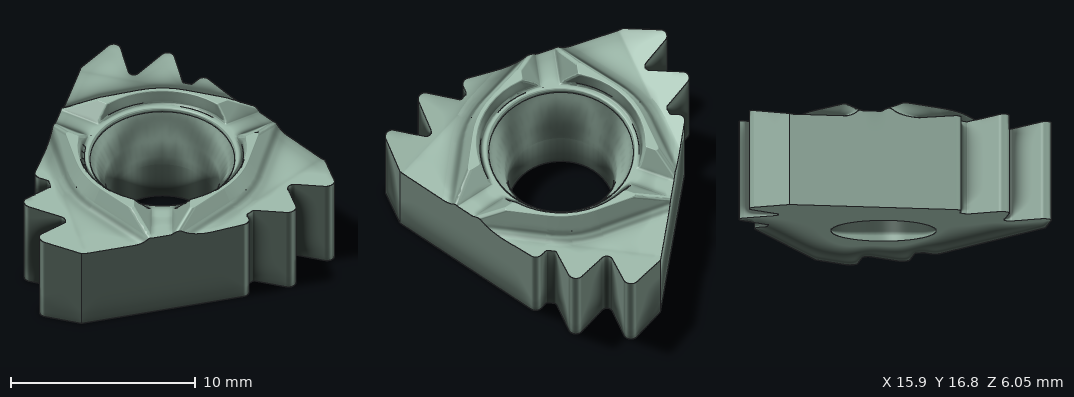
import cadquery as cq
import math

SECTORS = 3
SECTOR_ANGLE = 360 / SECTORS
FLAT_DIRECTION = 180 - SECTOR_ANGLE
FLAT_DISTANCE = 6.33
TOP_Z = 6.05
FLOOR_Z = 4.99

PITCH = 3.0
FLANK_SLOPE = math.tan(math.radians(60))
MAIN_TOOTH_X = -1.95
MAIN_APEX_Y = 8.63
LEAD_APEX_Y = 8.53
TIP_RADIUS = 0.42
ROOT_RADIUS = 0.32
LAST_ROOT_Y = 6.4
LAST_ROOT_WIDTH = 0.5
LAST_ROOT_RADIUS = 0.13
SHOULDER_RADIUS = 0.4

RAKE_START = 5.86
RAKE_ANGLE = 10
RAKE_BLEND_RADIUS = 0.84
STOCK_REACH = 12.56

BREAKER_TOP_RADIUS = 4.8
BREAKER_ARC = 31.5
BREAKER_WALL_ANGLE = 55
BREAKER_ROOT_Z = 1.68
BREAKER_BASE_FILLET = 0.84
BREAKER_TOP_FILLET = 0.08

SLOT_FLOOR_Z = 5.31
SLOT_FLOOR_WIDTH = 1.04
SLOT_TOP_WIDTH = 3.05
SLOT_FILLET = 0.23
SLOT_EDGE_FILLET = 0.25
SLOT_INNER_FILLET = 0.17
SLOT_DIRECTION = 90 - (SECTOR_ANGLE - BREAKER_ARC) / 2
SLOT_SEARCH_ANGLE = 25

BORE_RADIUS = 2.85
SEAT_START_Z = 2.25
SEAT_RIM_RADIUS = 3.92
NECK_HEIGHT = 0.2
RECESS_FLOOR_RADIUS = 4.35
RECESS_TOP_RADIUS = 4.55
LEDGE_FILLET = 0.17

TOLERANCE = 0.002


def rotated(point, degrees):
    angle = math.radians(degrees)
    x, y = point
    return (x * math.cos(angle) - y * math.sin(angle), x * math.sin(angle) + y * math.cos(angle))


def rounded_outline(corners, plane="XY"):
    """Closed wire through (point, radius) corners, each rounded by its radius."""
    arcs = []
    for i, (point, radius) in enumerate(corners):
        here = cq.Vector(*point)
        back = (cq.Vector(*corners[i - 1][0]) - here).normalized()
        ahead = (cq.Vector(*corners[(i + 1) % len(corners)][0]) - here).normalized()
        half = back.getAngle(ahead) / 2
        setback = radius / math.tan(half)
        middle = here + (back + ahead).normalized() * (radius / math.sin(half) - radius)
        arcs.append((here + back * setback, middle, here + ahead * setback))
    wire = cq.Workplane(plane).moveTo(*arcs[0][2].toTuple()[:2])
    for start, middle, end in arcs[1:] + arcs[:1]:
        wire = wire.lineTo(start.x, start.y)
        if start != end:
            wire = wire.threePointArc((middle.x, middle.y), (end.x, end.y))
    return wire.close()


def tooth_corners():
    """Corners of one toothed edge, from the left side flat to the next flat."""
    lead_x = MAIN_TOOTH_X - PITCH
    edge_y = LEAD_APEX_Y - (lead_x + FLAT_DISTANCE) * FLANK_SLOPE
    apex_step = (MAIN_APEX_Y - LEAD_APEX_Y) / FLANK_SLOPE
    root_x = MAIN_TOOTH_X - (PITCH + apex_step) / 2
    root_y = MAIN_APEX_Y - (MAIN_TOOTH_X - root_x) * FLANK_SLOPE
    last_left = MAIN_TOOTH_X + (MAIN_APEX_Y - LAST_ROOT_Y) / FLANK_SLOPE
    last_right = last_left + LAST_ROOT_WIDTH
    flat_gap = FLAT_DISTANCE - rotated((last_right, LAST_ROOT_Y), -FLAT_DIRECTION)[0]
    flank = rotated((flat_gap, 0), FLAT_DIRECTION)
    return [
        ((-FLAT_DISTANCE, edge_y), 0),
        ((lead_x, LEAD_APEX_Y), TIP_RADIUS),
        ((root_x, root_y), ROOT_RADIUS),
        ((MAIN_TOOTH_X, MAIN_APEX_Y), TIP_RADIUS),
        ((last_left, LAST_ROOT_Y), LAST_ROOT_RADIUS),
        ((last_right, LAST_ROOT_Y), LAST_ROOT_RADIUS),
        ((last_right + flank[0], LAST_ROOT_Y + flank[1]), SHOULDER_RADIUS),
    ]


def outline_prism():
    corners = []
    for i in range(SECTORS):
        corners += [(rotated(p, -i * SECTOR_ANGLE), r) for p, r in tooth_corners()]
    return rounded_outline(corners).extrude(TOP_Z)


def in_every_sector(shape):
    copies = shape
    for i in range(1, SECTORS):
        copies = copies.union(shape.rotate((0, 0, 0), (0, 0, 1), i * SECTOR_ANGLE))
    return copies


def raked_stock():
    """Flat floor with a blended slope rising towards each toothed edge."""
    rake = math.radians(RAKE_ANGLE)
    setback = RAKE_BLEND_RADIUS * math.tan(rake / 2)
    rise = (STOCK_REACH - RAKE_START) * math.tan(rake)
    slope = (
        cq.Workplane("YZ", origin=(-STOCK_REACH, 0, 0))
        .moveTo(-STOCK_REACH, 0)
        .lineTo(STOCK_REACH, 0)
        .lineTo(STOCK_REACH, FLOOR_Z + rise)
        .lineTo(RAKE_START + setback * math.cos(rake), FLOOR_Z + setback * math.sin(rake))
        .tangentArcPoint((RAKE_START - setback, FLOOR_Z), relative=False)
        .lineTo(-STOCK_REACH, FLOOR_Z)
        .close()
        .extrude(2 * STOCK_REACH)
    )
    return in_every_sector(slope)


def chip_breaker():
    """Tapered boss: round stretches joined by tangent straight sides."""
    height = TOP_Z - BREAKER_ROOT_Z
    radius = BREAKER_TOP_RADIUS + height / math.tan(math.radians(BREAKER_WALL_ANGLE))
    corner = radius / math.cos(math.radians((SECTOR_ANGLE - BREAKER_ARC) / 2))
    wire = cq.Workplane("XY", origin=(0, 0, BREAKER_ROOT_Z)).moveTo(0, radius)
    for i in range(SECTORS):
        start = 90 + i * SECTOR_ANGLE
        end = start + BREAKER_ARC
        next_start = start + SECTOR_ANGLE
        wire = (
            wire.threePointArc(rotated((radius, 0), (start + end) / 2), rotated((radius, 0), end))
            .lineTo(*rotated((corner, 0), (end + next_start) / 2))
            .lineTo(*rotated((radius, 0), next_start))
        )
    return wire.close().extrude(height, taper=90 - BREAKER_WALL_ANGLE)


def breaker_on_plane(breaker, angle):
    """Chip breaker blended into a plane that tilts up by angle about the rake start line."""
    tilt = math.tan(math.radians(angle))
    slab = (
        cq.Workplane("YZ", origin=(-STOCK_REACH, 0, 0))
        .moveTo(-STOCK_REACH, 0)
        .lineTo(STOCK_REACH, 0)
        .lineTo(STOCK_REACH, FLOOR_Z + (STOCK_REACH - RAKE_START) * tilt)
        .lineTo(-STOCK_REACH, FLOOR_Z - (STOCK_REACH + RAKE_START) * tilt)
        .close()
        .extrude(2 * STOCK_REACH)
    )
    body = slab.union(breaker)
    base_edges = [
        edge
        for edge in body.edges().vals()
        if all(
            abs(point.z - FLOOR_Z - (point.y - RAKE_START) * tilt) < TOLERANCE
            and max(abs(point.x), abs(point.y)) < STOCK_REACH - TOLERANCE
            for point in edge.positions([0.25, 0.5, 0.75])
        )
    ]
    return body.newObject(base_edges).fillet(BREAKER_BASE_FILLET)


def slot():
    """Trapezoid channel from the hole outwards, midway along each straight side."""
    spread = (SLOT_TOP_WIDTH - SLOT_FLOOR_WIDTH) / 2
    half_floor = SLOT_FLOOR_WIDTH / 2
    half_top = half_floor + 2 * spread
    high_z = 2 * TOP_Z - SLOT_FLOOR_Z
    section = [
        ((half_floor, SLOT_FLOOR_Z), SLOT_FILLET),
        ((half_top, high_z), 0),
        ((-half_top, high_z), 0),
        ((-half_floor, SLOT_FLOOR_Z), SLOT_FILLET),
    ]
    channel = rounded_outline(section, "YZ").extrude(STOCK_REACH)
    return channel.rotate((0, 0, 0), (0, 0, 1), SLOT_DIRECTION)


def screw_hole():
    """Bore, curved seat, short neck, flat ledge level with the slots and conical recess."""
    seat_width = SEAT_RIM_RADIUS - BORE_RADIUS
    seat_height = SLOT_FLOOR_Z - NECK_HEIGHT - SEAT_START_Z
    tool = (
        cq.Workplane("XZ")
        .lineTo(BORE_RADIUS, 0)
        .lineTo(BORE_RADIUS, SEAT_START_Z)
        .tangentArcPoint((seat_width, seat_height))
        .lineTo(SEAT_RIM_RADIUS, SLOT_FLOOR_Z)
        .lineTo(RECESS_FLOOR_RADIUS, SLOT_FLOOR_Z)
        .lineTo(RECESS_TOP_RADIUS, TOP_Z)
        .lineTo(0, TOP_Z)
        .close()
        .revolve(360)
    )
    circles = tool.edges("%CIRCLE").vals()
    ledge_edges = [edge for edge in circles if abs(edge.Center().z - SLOT_FLOOR_Z) < TOLERANCE]
    return tool.newObject(ledge_edges).fillet(LEDGE_FILLET)


def slot_wall_ends(body, inner):
    """Sloping edges where the slot walls run out: into the recess or into the breaker sides."""
    edges = []
    for edge in body.edges().vals():
        middle = edge.positionAt(0.5)
        angle = math.degrees(math.atan2(middle.y, middle.x)) - SLOT_DIRECTION
        from_axis = abs((angle + SECTOR_ANGLE / 2) % SECTOR_ANGLE - SECTOR_ANGLE / 2)
        box = edge.BoundingBox()
        if (
            from_axis < SLOT_SEARCH_ANGLE
            and box.zmax > TOP_Z - TOLERANCE
            and box.zlen > TOLERANCE
            and (math.hypot(middle.x, middle.y) < BREAKER_TOP_RADIUS) == inner
        ):
            edges.append(edge)
    return body.newObject(edges)


breaker = chip_breaker()
form = breaker_on_plane(breaker, 0)
form = form.union(in_every_sector(breaker_on_plane(breaker, RAKE_ANGLE))).union(raked_stock())
part = outline_prism().intersect(form).cut(in_every_sector(slot())).cut(screw_hole())
part = slot_wall_ends(part, inner=False).fillet(SLOT_EDGE_FILLET)
part = slot_wall_ends(part, inner=True).fillet(SLOT_INNER_FILLET)
result = part.faces(">Z").edges().fillet(BREAKER_TOP_FILLET)